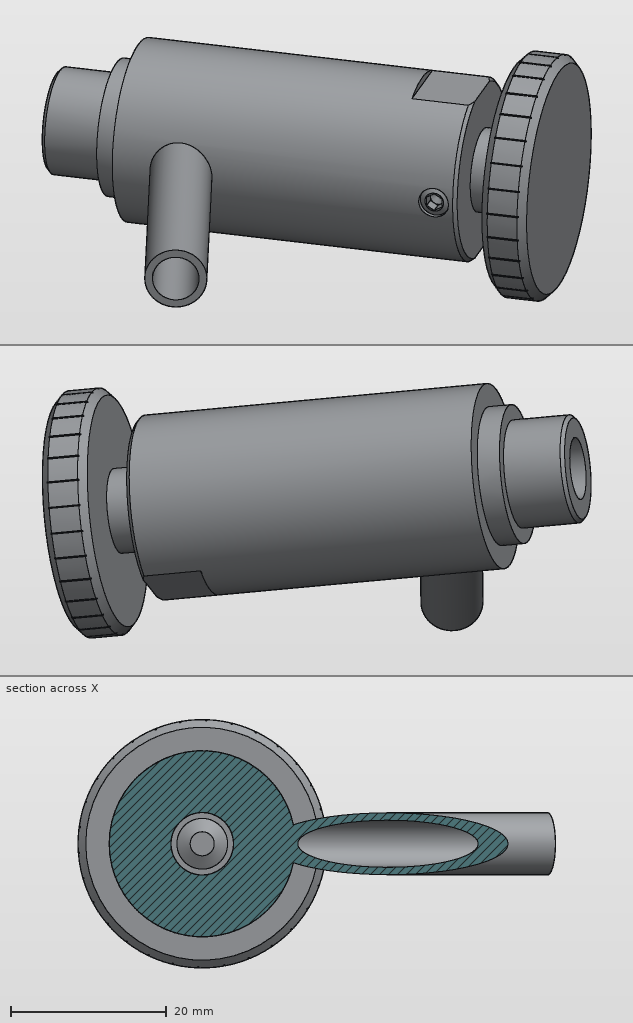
import cadquery as cq
import math

total_length = 67.3

nose_diameter = 14.0
nose_length = 8.0
collar_diameter = 18.0
collar_end = 11.0
body_diameter = 24.0
body_end = 57.0
edge_chamfer = 0.5

neck_diameter = 11.0

knob_diameter = 32.0
knob_length = 6.0
knob_chamfer = 1.0
knob_start = total_length - knob_length

groove_count = 30
groove_size = 0.15
groove_start_angle = 4.2

tip_angle = 120.0

flats_width = 22.0
flats_length = 8.0

bore_diameter = 8.0
bore_depth = 25.0
plunger_diameter = 6.5
plunger_flat_diameter = 3.1

tube_diameter = 8.0
tube_bore_diameter = 6.0
tube_length = 46.0
tube_axis_x = 17.0
tube_lean = 15.0

screw_diameter = 4.0
screw_axis_x = 54.0
screw_face_diameter = 2.5
screw_recess = 0.35
socket_across_flats = 2.0
socket_depth = 1.7


def cone_height(base_diameter, end_diameter):
    """Height of a cone or truncated cone with the common tip angle."""
    return (base_diameter - end_diameter) / 2 / math.tan(math.radians(tip_angle / 2))


def x_cylinder(diameter, start, end):
    """Cylinder on the main axis between two X positions."""
    return cq.Workplane("YZ").workplane(offset=start).circle(diameter / 2).extrude(end - start)


def make_body():
    """Nose, collar and main barrel with its wrench flats."""
    nose = x_cylinder(nose_diameter, 0, nose_length).faces("<X").chamfer(edge_chamfer)
    collar = x_cylinder(collar_diameter, nose_length, collar_end)
    barrel = x_cylinder(body_diameter, collar_end, body_end).faces(">X").chamfer(edge_chamfer)
    flat_depth = (body_diameter - flats_width) / 2
    for side in (1, -1):
        flat_cut = cq.Workplane("XY").box(flats_length, body_diameter, flat_depth).translate(
            (body_end - flats_length / 2, 0, side * (flats_width + flat_depth) / 2)
        )
        barrel = barrel.cut(flat_cut)
    return nose.union(collar).union(barrel)


def make_knob():
    """Chamfered knob with evenly spaced grooves along its rim, on a plain neck."""
    knob = x_cylinder(knob_diameter, knob_start, total_length).faces("<X or >X").chamfer(knob_chamfer)
    groove = cq.Workplane("XY").box(knob_length, 2 * groove_size, groove_size).translate(
        (knob_start + knob_length / 2, -knob_diameter / 2, 0)
    )
    for index in range(groove_count):
        angle = groove_start_angle + index * 360 / groove_count
        knob = knob.cut(groove.rotate((0, 0, 0), (1, 0, 0), -angle))
    return knob.union(x_cylinder(neck_diameter, body_end, knob_start))


def make_plunger_tip():
    """Truncated cone on the bore floor, pointing to the open end of the bore."""
    flat_x = bore_depth - cone_height(plunger_diameter, plunger_flat_diameter)
    return (
        cq.Workplane("XY")
        .moveTo(bore_depth, 0)
        .lineTo(bore_depth, plunger_diameter / 2)
        .lineTo(flat_x, plunger_flat_diameter / 2)
        .lineTo(flat_x, 0)
        .close()
        .revolve(360, (0, 0, 0), (1, 0, 0))
    )


def tube_cylinder(diameter):
    """Cylinder along the leaning tube axis, starting on the main axis."""
    lean = math.radians(tube_lean)
    axis = cq.Vector(math.sin(lean), -math.cos(lean), 0)
    start = cq.Vector(tube_axis_x, 0, 0)
    return cq.Workplane(cq.Solid.makeCylinder(diameter / 2, tube_length, start, axis))


def add_set_screw(part):
    """Recessed set screw with a chamfered face and a hexagon socket with a drilled bottom."""
    screw_chamfer = cone_height(screw_diameter, screw_face_diameter)
    face_y = -body_diameter / 2 + screw_recess
    outward = cq.Vector(0, -1, 0)
    inward = cq.Vector(0, 1, 0)
    hole_bottom = cq.Vector(screw_axis_x, face_y + screw_chamfer, 0)
    hole = cq.Solid.makeCylinder(screw_diameter / 2, body_diameter / 2, hole_bottom, outward)
    screw_end = cq.Solid.makeCone(
        screw_diameter / 2, screw_face_diameter / 2, screw_chamfer, hole_bottom, outward
    )
    corner_diameter = socket_across_flats / math.cos(math.pi / 6)
    socket = (
        cq.Workplane("XZ", origin=(screw_axis_x, face_y, 0))
        .transformed(rotate=(0, 0, 90))
        .polygon(6, corner_diameter)
        .extrude(-socket_depth)
    )
    drill_height = cone_height(socket_across_flats, 0)
    drill_start = cq.Vector(screw_axis_x, face_y + socket_depth, 0)
    drill_point = cq.Solid.makeCone(socket_across_flats / 2, 0, drill_height, drill_start, inward)
    part = part.cut(cq.Workplane(hole)).union(cq.Workplane(screw_end))
    return part.cut(socket).cut(cq.Workplane(drill_point))


solid = make_body().union(make_knob()).union(tube_cylinder(tube_diameter))
solid = solid.cut(x_cylinder(bore_diameter, 0, bore_depth)).cut(tube_cylinder(tube_bore_diameter))
solid = solid.union(make_plunger_tip())
result = add_set_screw(solid)